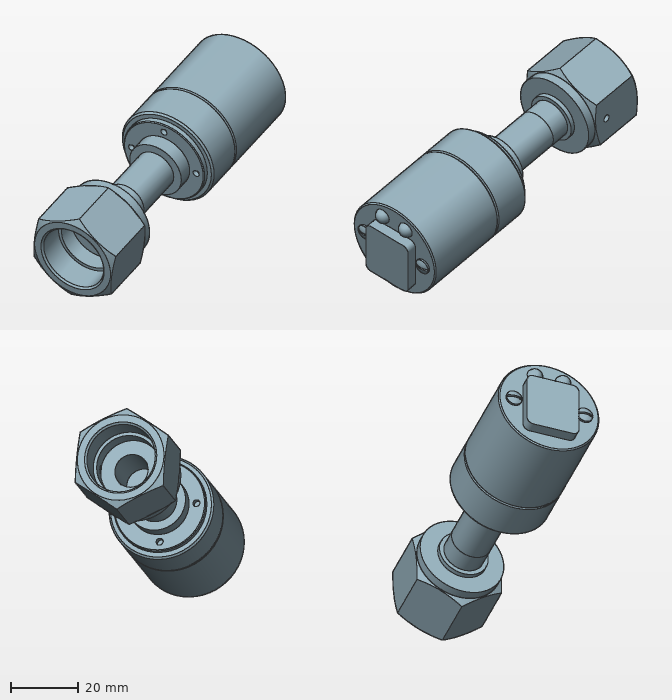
import cadquery as cq
import math

total_length = 99.2

nut_across_flats = 27.0
nut_vertex_angle = 24.3
nut_hex_length = 19.3
nut_length = 22.2
nut_neck_diameter = 26.6
nut_face_diameter = 26.4
nut_chamfer_angle = 30.0
thread_diameter = 20.8
thread_depth = 9.0
thread_mouth_chamfer = 0.6
leak_hole_diameter = 2.3
leak_hole_y = 14.2

gland_head_diameter = 18.8
gland_head_front = 14.5
gland_head_back = 18.3
gland_shoulder_diameter = 15.5
gland_shoulder_end = 23.7
gland_bore_diameter = 10.1

tube_diameter = 12.7
weld_y = 30.3
hub_diameter = 18.0
hub_front = 47.3
flange_diameter = 28.0
flange_front = 52.1
flange_chamfer = 0.3
flange_hole_diameter = 2.1
flange_hole_count = 4

housing_diameter = 32.0
collar_front = 54.0
sleeve_front = 67.0
housing_end = 95.9
collar_front_chamfer = 0.6
joint_chamfer = 0.4

fastener_radius = 11.2
screw_diameter = 5.0
screw_rim_height = 0.6
screw_height = 1.3
screw_slot_width = 0.6
screw_slot_depth = 1.2
lamp_diameter = 5.0
lamp_height = 2.1
lamp_x = 4.5
lamp_z = 10.7
connector_width = 16.5
connector_height = 18.8
connector_center_z = -1.6
connector_corner_radius = 2.1


def turn(outline):
    """Turn a closed (radius, y) outline about the Y axis."""
    return cq.Workplane("XY").polyline(outline).close().revolve(360, (0, 0), (0, 1))


def cylinder(diameter, y_start, y_end, x=0.0, z=0.0):
    """Cylinder parallel to Y."""
    return cq.Workplane("XZ", origin=(x, y_start, z)).circle(diameter / 2).extrude(y_start - y_end)


def make_nut():
    corner_radius = nut_across_flats / 2 / math.cos(math.radians(30))
    face_radius = nut_face_diameter / 2
    chamfer_length = (corner_radius - face_radius) * math.tan(math.radians(nut_chamfer_angle))

    hexagon = (
        cq.Workplane("XZ")
        .polygon(6, 2 * corner_radius)
        .extrude(-nut_hex_length)
        .rotate((0, 0, 0), (0, 1, 0), -nut_vertex_angle)
    )
    chamfer_envelope = turn([
        (0, 0),
        (face_radius, 0),
        (corner_radius, chamfer_length),
        (corner_radius, nut_hex_length - chamfer_length),
        (face_radius, nut_hex_length),
        (0, nut_hex_length),
    ])
    neck = cylinder(nut_neck_diameter, nut_hex_length, nut_length)
    thread_radius = thread_diameter / 2
    head_radius = gland_head_diameter / 2
    shoulder_radius = gland_shoulder_diameter / 2
    bore = turn([
        (0, 0),
        (thread_radius + thread_mouth_chamfer, 0),
        (thread_radius, thread_mouth_chamfer),
        (thread_radius, thread_depth),
        (head_radius, thread_depth),
        (head_radius, gland_head_back),
        (shoulder_radius, gland_head_back),
        (shoulder_radius, nut_length),
        (0, nut_length),
    ])

    flat_angle = math.radians(nut_vertex_angle + 150)
    leak_hole = cq.Workplane(
        cq.Plane(
            origin=(0, leak_hole_y, 0),
            xDir=(0, 1, 0),
            normal=(math.cos(flat_angle), 0, math.sin(flat_angle)),
        )
    ).circle(leak_hole_diameter / 2).extrude(nut_across_flats)

    return hexagon.intersect(chamfer_envelope).union(neck).cut(bore).cut(leak_hole)


def make_gland():
    bore_radius = gland_bore_diameter / 2
    return turn([
        (bore_radius, gland_head_front),
        (gland_head_diameter / 2, gland_head_front),
        (gland_head_diameter / 2, gland_head_back),
        (gland_shoulder_diameter / 2, gland_head_back),
        (gland_shoulder_diameter / 2, gland_shoulder_end),
        (tube_diameter / 2, gland_shoulder_end),
        (tube_diameter / 2, weld_y),
        (bore_radius, weld_y),
    ])


def make_sensor_body():
    tube_radius = tube_diameter / 2
    hub_radius = hub_diameter / 2
    flange_radius = flange_diameter / 2
    body = turn([
        (0, weld_y),
        (tube_radius, weld_y),
        (tube_radius, hub_front),
        (hub_radius, hub_front),
        (hub_radius, flange_front),
        (flange_radius - flange_chamfer, flange_front),
        (flange_radius, flange_front + flange_chamfer),
        (flange_radius, collar_front),
        (0, collar_front),
    ])
    holes = (
        cq.Workplane("XZ", origin=(0, flange_front, 0))
        .polarArray(fastener_radius, 0, 360, flange_hole_count)
        .circle(flange_hole_diameter / 2)
        .extrude(flange_front - collar_front)
    )
    return body.cut(holes)


def make_housing_part(y_front, y_back, front_chamfer, back_chamfer):
    body = cylinder(housing_diameter, y_front, y_back)
    return body.faces("<Y").chamfer(front_chamfer).faces(">Y").chamfer(back_chamfer)


def make_screw(x):
    """Slotted screw head with a low domed top."""
    radius = screw_diameter / 2
    dome_height = screw_height - screw_rim_height
    dome_radius = (radius**2 + dome_height**2) / (2 * dome_height)
    half_angle = math.asin(radius / dome_radius) / 2
    mid_x = dome_radius * math.sin(half_angle)
    mid_y = screw_height - dome_radius * (1 - math.cos(half_angle))
    head = (
        cq.Workplane("XY")
        .lineTo(radius, 0)
        .lineTo(radius, screw_rim_height)
        .threePointArc((mid_x, mid_y), (0, screw_height))
        .close()
        .revolve(360, (0, 0), (0, 1))
    )
    slot = cq.Workplane("XY").box(screw_diameter, 2 * screw_slot_depth, screw_slot_width)
    slot = slot.translate((0, screw_height, 0))
    return head.cut(slot).translate((x, housing_end, 0))


def make_lamp(x):
    """Round lens cut from a ball that bulges from the rear face."""
    ball_radius = ((lamp_diameter / 2) ** 2 + lamp_height**2) / (2 * lamp_height)
    ball_y = housing_end + lamp_height - ball_radius
    ball = cq.Workplane("XY").sphere(ball_radius).translate((x, ball_y, lamp_z))
    return ball.intersect(cylinder(2 * lamp_diameter, housing_end, total_length, x, lamp_z))


def make_connector():
    return (
        cq.Workplane("XZ", origin=(0, housing_end, connector_center_z))
        .rect(connector_width, connector_height)
        .extrude(housing_end - total_length)
        .edges("|Y")
        .fillet(connector_corner_radius)
    )


nut = make_nut()
gland = make_gland()
sensor_body = make_sensor_body()
collar = make_housing_part(collar_front, sleeve_front, collar_front_chamfer, joint_chamfer)
sleeve = make_housing_part(sleeve_front, housing_end, joint_chamfer, joint_chamfer)
connector = make_connector()
screws = [make_screw(side * fastener_radius) for side in (-1, 1)]
lamps = [make_lamp(side * lamp_x) for side in (-1, 1)]

result = cq.Compound.makeCompound([
    nut.val(),
    gland.val(),
    sensor_body.val(),
    collar.val(),
    sleeve.val(),
    connector.val(),
    *[screw.val() for screw in screws],
    *[lamp.val() for lamp in lamps],
])